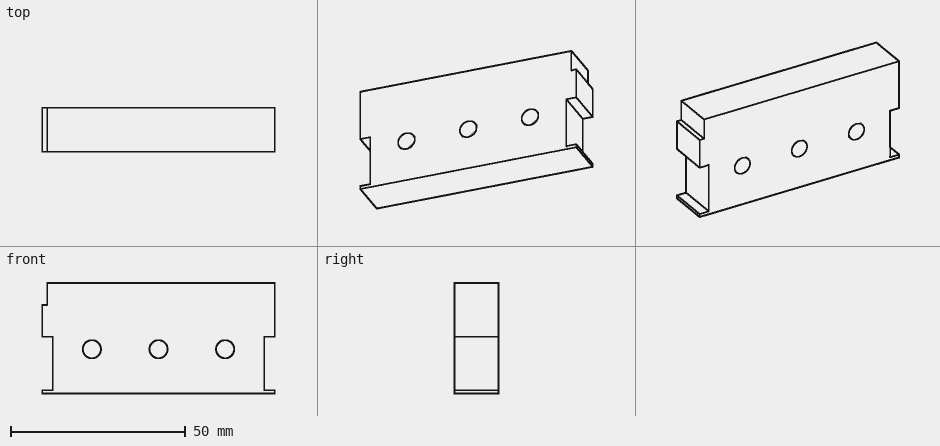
import cadquery as cq

length = 66.7
depth = 12.7
height = 31.75

flange_thickness = 1.0
neck_inset = 3.1
shoulder_height = 16.3
step_height = 25.4
step_inset = 1.5

hole_diameter = 5.15
hole_pitch = 19.1
hole_height = 12.75

half_length = length / 2
neck_half_length = half_length - neck_inset
step_x = -half_length + step_inset

outline = [
    (-half_length, 0),
    (half_length, 0),
    (half_length, flange_thickness),
    (neck_half_length, flange_thickness),
    (neck_half_length, shoulder_height),
    (half_length, shoulder_height),
    (half_length, height),
    (step_x, height),
    (step_x, step_height),
    (-half_length, step_height),
    (-half_length, shoulder_height),
    (-neck_half_length, shoulder_height),
    (-neck_half_length, flange_thickness),
    (-half_length, flange_thickness),
]
block = cq.Workplane("XZ").polyline(outline).close().extrude(depth / 2, both=True)

hole_centres = [(i * hole_pitch, hole_height) for i in (-1, 0, 1)]
holes = (
    cq.Workplane("XZ")
    .pushPoints(hole_centres)
    .circle(hole_diameter / 2)
    .extrude(depth, both=True)
)

result = block.cut(holes)